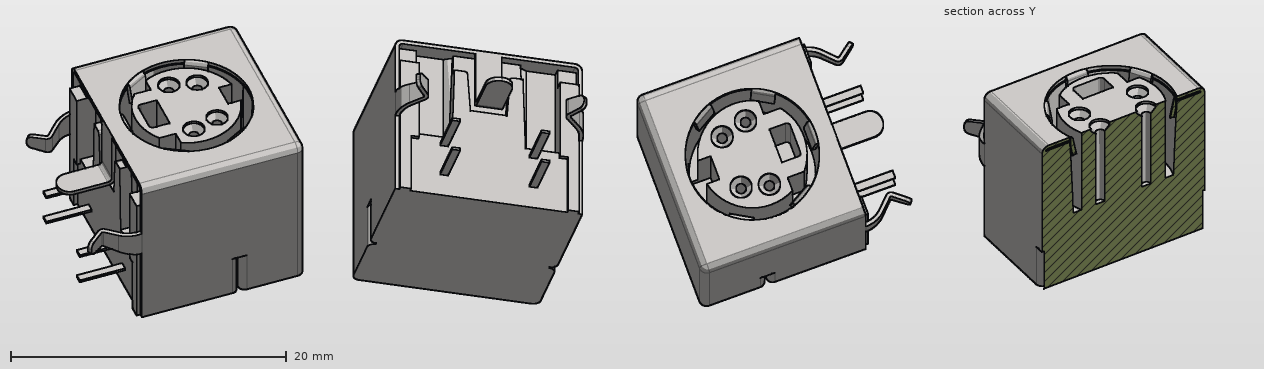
import cadquery as cq
import math


DOWN = -90
INWARD = 180

shield_width = 14.03
shield_depth = 12.68
shield_height = 12.83
sheet = 0.31
outer_corner = 0.58
total_depth = 16.56
lead_reach = total_depth - shield_depth

tongue_width = 1.97
tongue_top = 8.28
tongue_bend = 0.31
tongue_tip_radius = 0.96

clip_z = 7.3
clip_root_width = 2.02
clip_tip_width = 1
clip_first_bend = 1.92
clip_second_bend = 0.1
clip_first_angle = 45
clip_tail_angle = 38
clip_straight = 1.2
clip_tip_radius = 0.45

seam_y = 7.6
seam_width = 1.15
seam_gap = 0.13
seam_height = 3.4

body_half = shield_width / 2 - sheet
body_height = 12.4
body_front = 0.51
face_front = 0
face_height = 10.88
rail_front = -0.3
rail_inner = 5.28
rail_foot_inner = 5.88
rail_foot_height = 4.55

pocket_floor = 1.18
pocket_bottom = 4.98
pocket_half_bottom = 2.75
pocket_half_top = 2.52
notch_bottom = 7.58
notch_half_bottom = 1.37
notch_half_top = 1.6
notch_rounding = 0.22

socket_y = 6.2
barrel_radius = 5.9
mouth_radius = 4.87
floor_radius = 4.59
plug_radius = 3.97
socket_depth = 6.95
key_depth = 7.95
key_width = 1.84
key_inner = 2.88
shoulder_y = -1.8
shoulder_half = 2.5
slot_half = 1.3
slot_end_y = -3.33
slot_corner = 0.28

contact_holes = [(-1.99, 1.6), (1.99, 1.6), (-2.5, -0.4), (2.5, -0.4)]
hole_mouth_radius = 0.8
hole_radius = 0.36
hole_mouth_depth = 0.2

tab_angles = [30, 150, 210, 270, 330]
tab_width = 1.75
tab_root = 5.13
tab_bend = 0.02
tab_bend_angle = 80
tab_length = 1.49

pin_x = 3.35
pin_levels = [1.84, 4.34]
pin_width = 0.6
pin_thickness = 0.2
pin_reach = 3.53


def box(x0, x1, y0, y1, z0, z1):
    return cq.Workplane("XY").box(x1 - x0, y1 - y0, z1 - z0, centered=False).translate((x0, y0, z0))


def mirrored(part):
    return part.union(part.mirror("YZ"))


def bent_strip(plane, start, heading, moves, width):
    """Sheet strip of the given width about the plane.

    The strip's right-hand face begins at start. A move is ("straight", length)
    or ("bend", inner radius, angle), with a positive angle turning left.
    """
    x, y = start
    right = []
    left = []

    def normal(angle):
        return -math.sin(math.radians(angle)), math.cos(math.radians(angle))

    def add_pair(at_x, at_y, angle, on_arc):
        nx, ny = normal(angle)
        right.append(((at_x, at_y), on_arc))
        left.append(((at_x + sheet * nx, at_y + sheet * ny), on_arc))

    add_pair(x, y, heading, False)
    for move in moves:
        if move[0] == "straight":
            x += move[1] * math.cos(math.radians(heading))
            y += move[1] * math.sin(math.radians(heading))
            add_pair(x, y, heading, False)
            continue
        inner_radius, angle = move[1:]
        to_centre = inner_radius + sheet if angle > 0 else -inner_radius
        nx, ny = normal(heading)
        centre = (x + to_centre * nx, y + to_centre * ny)
        for turn, on_arc in ((angle / 2, True), (angle, False)):
            nx, ny = normal(heading + turn)
            x, y = centre[0] - to_centre * nx, centre[1] - to_centre * ny
            add_pair(x, y, heading + turn, on_arc)
        heading += angle

    outline = cq.Workplane(plane).moveTo(*right[0][0])
    for side in (right[1:], left[::-1]):
        middle = None
        for point, on_arc in side:
            if on_arc:
                middle = point
            elif middle:
                outline = outline.threePointArc(middle, point)
                middle = None
            else:
                outline = outline.lineTo(*point)
    return outline.close().extrude(width / 2, both=True)


def make_shield():
    half = shield_width / 2
    outer = box(-half, half, 0, shield_depth, 0, shield_height)
    outer = outer.edges("(|Y and >Z) or (|Z and >Y) or (|X and >Y and >Z)").fillet(outer_corner)
    inner = box(-half + sheet, half - sheet, 0, shield_depth - sheet, 0, shield_height - sheet)
    inner = inner.edges("(|Y and >Z) or (|Z and >Y) or (|X and >Y and >Z)").fillet(outer_corner - sheet)
    mouth = cq.Workplane("XY").center(0, socket_y).circle(mouth_radius).extrude(shield_height)
    return outer.cut(inner).cut(mouth)


def make_tongue():
    bend_top = tongue_top + tongue_bend
    root = shield_height - sheet
    tongue = bent_strip(
        "YZ",
        (0, root),
        DOWN,
        [
            ("straight", root - bend_top),
            ("bend", tongue_bend, -90),
            ("straight", lead_reach - tongue_bend),
        ],
        tongue_width,
    )
    return tongue.edges("|Z and <Y").fillet(tongue_tip_radius)


def make_clips():
    first = math.radians(clip_first_angle)
    tail = math.radians(clip_tail_angle)
    reach_before_tail = (
        (clip_first_bend + sheet + clip_straight) * math.sin(first)
        + clip_second_bend * (math.cos(first) + math.sin(tail))
        + sheet * math.sin(tail)
    )
    strip = bent_strip(
        "XY",
        (-shield_width / 2, 0),
        DOWN,
        [
            ("bend", clip_first_bend, clip_first_angle),
            ("straight", clip_straight),
            ("bend", clip_second_bend, -clip_first_angle - clip_tail_angle),
            ("straight", (lead_reach - reach_before_tail) / math.cos(tail)),
        ],
        clip_root_width,
    )
    taper = (
        cq.Workplane("YZ")
        .polyline(
            [
                (0, -clip_root_width / 2),
                (0, clip_root_width / 2),
                (-lead_reach, clip_tip_width / 2),
                (-lead_reach, -clip_tip_width / 2),
            ]
        )
        .close()
        .extrude(shield_width, both=True)
    )
    tail_direction = cq.Vector(-math.sin(tail), -math.cos(tail), 0)
    clip = strip.intersect(taper)
    tail_end = clip.faces(cq.selectors.DirectionMinMaxSelector(tail_direction))
    clip = tail_end.edges("not |Z").fillet(clip_tip_radius)
    return mirrored(clip.translate((0, 0, clip_z)))


def make_seams():
    """Grooves left where two sheet edges roll inwards and face each other."""
    roll = (seam_width - seam_gap) / 2
    outside = -shield_width / 2
    inside = outside + roll
    groove = (
        cq.Workplane("XY")
        .moveTo(outside, seam_y - seam_width / 2)
        .radiusArc((inside, seam_y - seam_gap / 2), roll)
        .lineTo(inside, seam_y + seam_gap / 2)
        .radiusArc((outside, seam_y + seam_width / 2), roll)
        .close()
        .extrude(seam_height)
    )
    return mirrored(groove)


def make_pockets():
    """Recesses between posts and rails, leaving the round barrel standing in them."""
    pocket = (
        cq.Workplane("XZ")
        .polyline(
            [
                (pocket_half_bottom, pocket_bottom),
                (rail_inner, pocket_bottom),
                (rail_inner, body_height),
                (pocket_half_top, body_height),
            ]
        )
        .close()
        .extrude(-pocket_floor)
    )
    barrel = cq.Workplane("XY").center(0, socket_y).circle(barrel_radius).extrude(body_height)
    front_of_block = box(0, body_half, 0, body_front, 0, body_height)
    return mirrored(pocket.cut(barrel.cut(front_of_block)))


def make_face_plate():
    """Raised front face with two posts standing beside the tongue notch."""
    plate = box(-rail_inner, rail_inner, face_front, body_front, 0, face_height)
    foot = box(-rail_foot_inner, rail_foot_inner, face_front, body_front, 0, rail_foot_height)
    notch = (
        cq.Workplane("XZ")
        .polyline(
            [
                (-notch_half_bottom, notch_bottom),
                (notch_half_bottom, notch_bottom),
                (notch_half_top, face_height),
                (-notch_half_top, face_height),
            ]
        )
        .close()
        .extrude(-body_front)
    )
    plate = plate.cut(notch)
    plate = plate.edges(
        cq.selectors.BoxSelector(
            (-notch_half_top - 0.17, 0, face_height - 0.17),
            (notch_half_top + 0.17, body_front + 0.17, face_height + 0.17),
        )
    ).edges("|Y").fillet(notch_rounding)
    return plate.union(foot)


def make_rails():
    rail = box(rail_inner, body_half, rail_front, body_front, 0, face_height)
    foot_relief = box(rail_inner, rail_foot_inner, rail_front, face_front, 0, rail_foot_height)
    return mirrored(rail.cut(foot_relief))


def make_socket_cavity():
    """Slightly tapered round opening, widened at its far side by the square keyway."""
    floor_z = shield_height - socket_depth
    base = cq.Workplane("XY", origin=(0, socket_y, floor_z))
    round_part = (
        base.circle(floor_radius)
        .workplane(offset=body_height - floor_z)
        .circle(mouth_radius)
        .loft()
    )
    return round_part.union(make_key())


def make_key():
    """Square keyway whose far side follows the mouth."""
    floor_z = shield_height - key_depth
    mouth = cq.Workplane("XY", origin=(0, socket_y, floor_z)).circle(mouth_radius).extrude(key_depth)
    key = box(
        -key_width / 2,
        key_width / 2,
        socket_y + key_inner,
        socket_y + mouth_radius,
        floor_z,
        shield_height,
    )
    return key.intersect(mouth)


def make_plug():
    floor_z = shield_height - socket_depth
    base = cq.Workplane("XY", origin=(0, socket_y, floor_z))
    plug = base.circle(plug_radius).extrude(socket_depth)
    shoulder = box(
        shoulder_half, plug_radius, socket_y - plug_radius, socket_y + shoulder_y, floor_z, shield_height
    )
    slot = box(
        -slot_half, slot_half, socket_y + slot_end_y, socket_y + shoulder_y, floor_z, shield_height
    )
    slot = slot.edges("|Z and <Y").fillet(slot_corner)
    plug = plug.cut(mirrored(shoulder)).cut(slot).cut(make_key())

    cone_depth = hole_mouth_radius - hole_radius
    hole = (
        cq.Workplane("XZ")
        .polyline(
            [
                (0, 0),
                (hole_mouth_radius, 0),
                (hole_mouth_radius, -hole_mouth_depth),
                (hole_radius, -hole_mouth_depth - cone_depth),
                (hole_radius, -socket_depth),
                (0, -socket_depth),
            ]
        )
        .close()
        .revolve(360, (0, 0), (0, 1))
    )
    for x, y in contact_holes:
        plug = plug.cut(hole.translate((x, socket_y + y, shield_height)))
    return plug


def make_spring_tab(angle):
    tab = bent_strip(
        "XZ",
        (tab_root, shield_height),
        INWARD,
        [
            ("straight", tab_root - mouth_radius),
            ("bend", tab_bend, tab_bend_angle),
            ("straight", tab_length),
        ],
        tab_width,
    )
    return tab.rotate((0, 0, 0), (0, 0, 1), angle).translate((0, socket_y, 0))


def make_pin_pair(z):
    pin = box(
        pin_x - pin_width / 2,
        pin_x + pin_width / 2,
        -pin_reach,
        body_front,
        z - pin_thickness / 2,
        z + pin_thickness / 2,
    )
    return mirrored(pin)


body = box(-body_half, body_half, body_front, shield_depth - sheet, 0, body_height)
body = body.union(make_face_plate()).union(make_rails())
body = body.cut(make_pockets()).cut(make_socket_cavity()).union(make_plug())

result = body.union(make_shield()).cut(make_seams())
result = result.union(make_tongue()).union(make_clips())
for angle in tab_angles:
    result = result.union(make_spring_tab(angle))
for level in pin_levels:
    result = result.union(make_pin_pair(level))